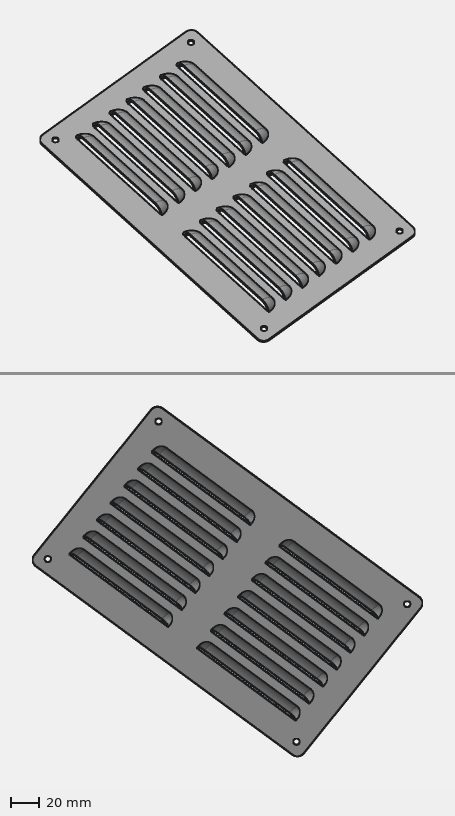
import cadquery as cq
import math

length = 241.3
width = 147.7
thickness = 1.7
corner_radius = 5.8

hole_diameter = 4.5
hole_inset = 9.5

hood_height = 7.7
hood_depth = 10.1
hood_straight_length = 76.3
hood_wall = thickness
back_slope = math.radians(57.0)
row_count = 7
row_pitch = 16.0
column_count = 2
column_pitch = 114.1
mouth_offset = 4.5

chord = math.hypot(hood_depth, hood_height)
chord_slope = math.atan2(hood_height, hood_depth)
turn_angle = 2 * (back_slope - chord_slope)
cavity_turn_angle = 2 * turn_angle
arc_radius = chord / (2 * math.sin(turn_angle / 2))
axis_y = hood_depth - arc_radius * math.sin(back_slope)
axis_z = -arc_radius * math.cos(back_slope)


def make_plate():
    """Rounded plate with its top face at Z = 0 and a screw hole near each corner."""
    return (
        cq.Workplane("XY")
        .box(length, width, thickness, centered=(True, True, False))
        .translate((0, 0, -thickness))
        .edges("|Z").fillet(corner_radius)
        .faces(">Z").workplane()
        .rect(length - 2 * hole_inset, width - 2 * hole_inset, forConstruction=True)
        .vertices().hole(hole_diameter)
    )


def turned_outline(height, angle):
    """Mouth outline with quarter-round ends, from the plate's bottom up to height, turned by angle."""
    end_x = hood_straight_length / 2
    tip_x = end_x + height
    round_middle = height * math.sqrt(0.5)
    return (
        cq.Workplane("XZ")
        .moveTo(-tip_x, -thickness)
        .lineTo(-tip_x, 0)
        .threePointArc((-end_x - round_middle, round_middle), (-end_x, height))
        .lineTo(end_x, height)
        .threePointArc((end_x + round_middle, round_middle), (tip_x, 0))
        .lineTo(tip_x, -thickness)
        .close()
        .revolve(math.degrees(angle), (0, axis_z, -axis_y), (-1, axis_z, -axis_y))
    )


def make_hood():
    """Solid hood, reaching from the bottom of the plate to the top of the mouth."""
    turned = turned_outline(hood_height, turn_angle)
    envelope = cq.Workplane("XY").box(
        length, width, thickness + hood_height, centered=(True, True, False)
    )
    return turned.intersect(envelope.translate((0, 0, -thickness)))


def make_cavity():
    """Space under the hood, carried on through the bottom of the plate."""
    return turned_outline(hood_height - hood_wall, cavity_turn_angle)


hood = make_hood()
cavity = make_cavity()

result = make_plate()
for column in range(column_count):
    for row in range(row_count):
        x = (column - (column_count - 1) / 2) * column_pitch
        mouth_y = (row - (row_count - 1) / 2) * row_pitch - mouth_offset
        place = (x, mouth_y, 0)
        result = result.union(hood.translate(place)).cut(cavity.translate(place))